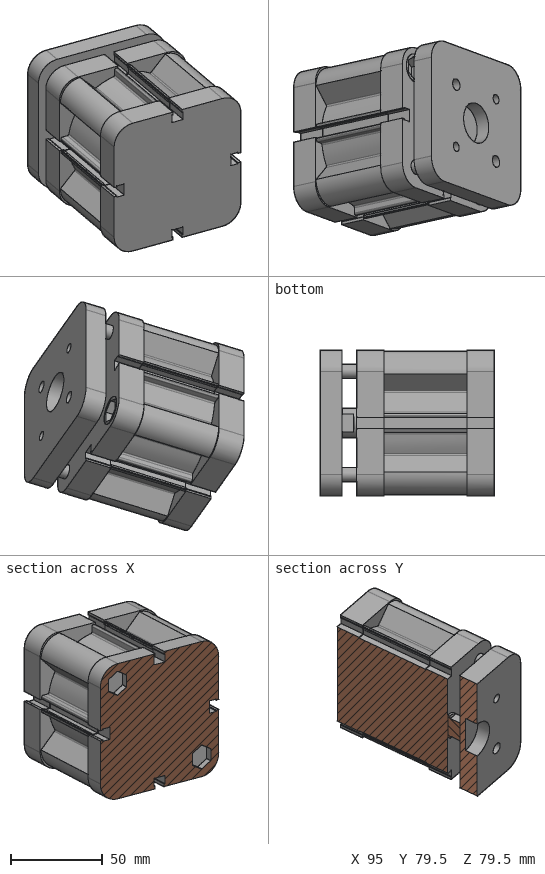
import cadquery as cq
import math


total_length = 95.0
plate_thickness = 12.0
gap = 8.0
cap_length = 15.0
front_face_x = plate_thickness + gap
tube_start_x = front_face_x + cap_length
tube_end_x = total_length - cap_length

side = 79.5
half_side = side / 2
corner_radius = 11.7

bore_diameter = 22.3
bore_depth = 8.0
hole_offset = 17.7
large_hole_diameter = 6.5
small_hole_diameter = 5.1

rod_diameter = 16.15
rod_radius = rod_diameter / 2
rod_end_chamfer = 0.3
flats_width = 12.8
flats_length = 6.2
flats_runout = 0.4

corner_axis_offset = 28.1
guide_diameter = 8.0
screw_recess_diameter = 16.0
screw_recess_depth = 0.2
hex_across_flats = 12.0
hex_depth = 7.5

core_radius = 34.4
lobe_radius = 12.4
lobe_centre = 26.7
lobe_top = lobe_centre + lobe_radius
flank_run = 13.3
rail_width = 10.3
rail_top = 38.8
profile_fillet = 0.95

mouth_width = 5.8
cap_channel_width = 6.9
tube_channel_width = 7.4
cap_channel_top = half_side - 1.8
cap_channel_floor = 33.4
tube_channel_top = 37.2
tube_channel_floor = 33.0
mouth_chamfer = 0.4


def yz_plane(x):
    """Workplane across the cylinder axis: local x is Y, local y is Z."""
    return cq.Workplane("YZ", origin=(x, 0, 0))


def rounded_square(x, length):
    return yz_plane(x).rect(side, side).extrude(length).edges("|X").fillet(corner_radius)


def on_four_sides(shape):
    """Copies of a shape turned to the four sides of the cylinder."""
    return [shape.rotate((0, 0, 0), (1, 0, 0), 90 * i) for i in range(4)]


def t_slot(x, length, channel_width, channel_top, channel_floor):
    """Cutter for the top-side T-slot."""
    half_mouth = mouth_width / 2
    half_channel = channel_width / 2
    return (
        yz_plane(x)
        .moveTo(-half_channel, channel_floor)
        .lineTo(half_channel, channel_floor)
        .lineTo(half_channel, channel_top)
        .lineTo(half_mouth, channel_top)
        .lineTo(half_mouth, half_side)
        .lineTo(-half_mouth, half_side)
        .lineTo(-half_mouth, channel_top)
        .lineTo(-half_channel, channel_top)
        .close()
        .extrude(length)
    )


def make_plate():
    plate = rounded_square(0, plate_thickness)
    plate = plate.cut(yz_plane(0).circle(bore_diameter / 2).extrude(bore_depth))
    large_spots = [(hole_offset, hole_offset), (-hole_offset, -hole_offset)]
    small_spots = [(-hole_offset, hole_offset), (hole_offset, -hole_offset)]
    for spots, diameter in ((large_spots, large_hole_diameter), (small_spots, small_hole_diameter)):
        plate = plate.cut(yz_plane(0).pushPoints(spots).circle(diameter / 2).extrude(plate_thickness))
    return plate


def make_piston_rod():
    rod = yz_plane(plate_thickness).circle(rod_radius).extrude(gap)
    rod = rod.faces("<X").chamfer(rod_end_chamfer)
    flat_end_x = plate_thickness + flats_length
    flat_z = flats_width / 2
    cutter = (
        cq.Workplane("XZ")
        .moveTo(plate_thickness, flat_z)
        .lineTo(flat_end_x, flat_z)
        .lineTo(flat_end_x + flats_runout, rod_radius)
        .lineTo(plate_thickness, rod_radius)
        .close()
        .extrude(rod_radius, both=True)
    )
    return rod.cut(cutter).cut(cutter.mirror("XY"))


def make_guide_rod(y, z):
    return yz_plane(plate_thickness).center(y, z).circle(guide_diameter / 2).extrude(gap)


def make_cap(x):
    cap = rounded_square(x, cap_length)
    slot = t_slot(x, cap_length, cap_channel_width, cap_channel_top, cap_channel_floor)
    for cutter in on_four_sides(slot):
        cap = cap.cut(cutter)
    return cap


def make_tube():
    length = tube_end_x - tube_start_x
    plane = yz_plane(tube_start_x)
    tube = plane.circle(core_radius).extrude(length)

    arc_middle = lobe_centre + lobe_radius * math.sqrt(0.5)
    lobe = (
        plane.moveTo(lobe_centre - flank_run, lobe_top - flank_run)
        .lineTo(lobe_centre, lobe_top)
        .threePointArc((arc_middle, arc_middle), (lobe_top, lobe_centre))
        .lineTo(lobe_top - flank_run, lobe_centre - flank_run)
        .close()
        .extrude(length)
    )
    rail = plane.center(0, rail_top / 2).rect(rail_width, rail_top).extrude(length)
    rail = rail.edges("|X and >Z").fillet(profile_fillet)
    for addition in on_four_sides(lobe) + on_four_sides(rail):
        tube = tube.union(addition)

    inside_corners = [
        edge for edge in tube.edges("|X").vals()
        if abs(math.hypot(edge.Center().y, edge.Center().z) - core_radius) < 0.01
    ]
    tube = tube.newObject(inside_corners).fillet(profile_fillet)

    slot = t_slot(tube_start_x, length, tube_channel_width, tube_channel_top, tube_channel_floor)
    half_mouth = mouth_width / 2
    bevel = (
        plane.moveTo(0, rail_top - mouth_chamfer - half_mouth)
        .lineTo(half_mouth + mouth_chamfer, rail_top)
        .lineTo(-half_mouth - mouth_chamfer, rail_top)
        .close()
        .extrude(length)
    )
    for cutter in on_four_sides(slot) + on_four_sides(bevel):
        tube = tube.cut(cutter)
    return tube


def make_screw_sockets():
    """Shallow round recess with a hexagon socket at the two corners without a guide rod."""
    spots = [(corner_axis_offset, corner_axis_offset), (-corner_axis_offset, -corner_axis_offset)]
    plane = yz_plane(front_face_x)
    recesses = plane.pushPoints(spots).circle(screw_recess_diameter / 2).extrude(screw_recess_depth)
    hexagon_corner_diameter = hex_across_flats / math.cos(math.pi / 6)
    for y, z in spots:
        socket = (
            plane.transformed(offset=(y, z, 0), rotate=(0, 0, 90))
            .polygon(6, hexagon_corner_diameter)
            .extrude(hex_depth)
        )
        recesses = recesses.union(socket)
    return recesses


def make_housing():
    housing = make_cap(front_face_x).union(make_tube()).union(make_cap(tube_end_x))
    return housing.cut(make_screw_sockets())


plate = make_plate()
piston_rod = make_piston_rod()
guide_spots = [(-corner_axis_offset, corner_axis_offset), (corner_axis_offset, -corner_axis_offset)]
guide_rods = [make_guide_rod(y, z) for y, z in guide_spots]
housing = make_housing()

result = cq.Compound.makeCompound(
    [plate.val(), piston_rod.val(), *[guide.val() for guide in guide_rods], housing.val()]
)